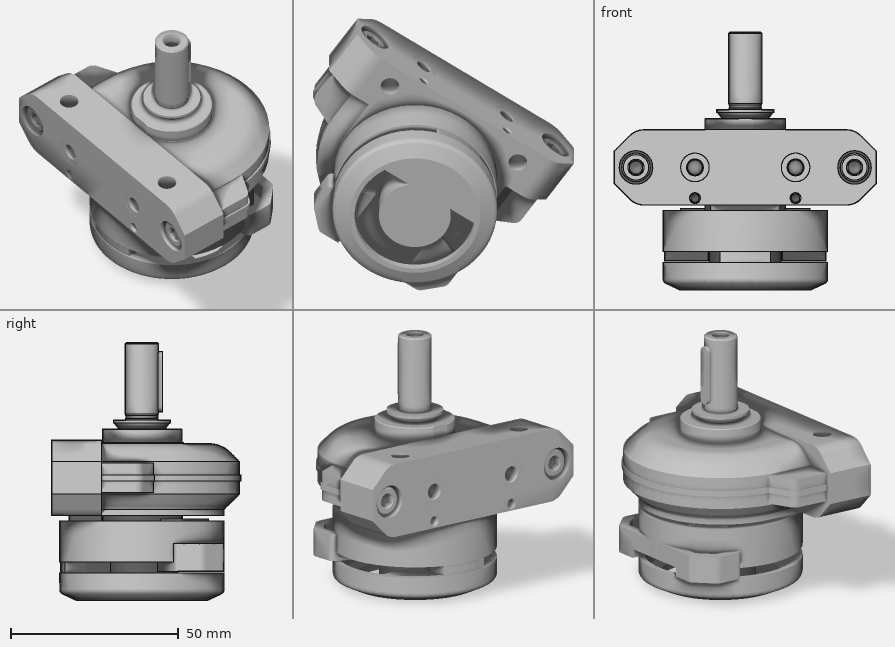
import cadquery as cq
import math


total_height = 76.75
drill_tip_angle = 118.0

plate_length = 78.0
plate_height = 22.5
plate_depth = 14.9
plate_back_y = -12.0
plate_front_y = plate_back_y - plate_depth
plate_end_height = 9.7
plate_corner_radius = 6.0
mount_hole_d = 5.5
mount_hole_x = 23.0
mount_hole_y = -20.7
port_x = 15.0
port_seat_d = 8.5
port_seat_depth = 0.1
port_mouth_d = 5.0
port_d = 4.45
port_depth = 2.5
dowel_d = 2.5
dowel_mouth_d = 3.2
dowel_depth = 5.0
dowel_z = -9.1
foot_width = 20.75
foot_end_y = -21.7
foot_corner_radius = 1.8

screw_x = 32.5
screw_head_d = 8.5
screw_head_height = 5.0
screw_head_chamfer = 0.5
screw_head_recess = 1.0
screw_bore_d = 10.0
screw_shank_d = 5.0
screw_end_y = -3.9
hex_across_flats = 4.0
hex_mouth_d = 4.8
hex_depth = 2.5

dome_radius = 29.0
dome_top_z = 10.2
dome_rim_z = plate_end_height / 2
dome_shoulder_radius = 9.0
skirt_radius = 24.5
skirt_blend_angle = 35.0
skirt_blend_z = -9.35
bead_height = 1.7
bead_width = 0.5
ear_x = 37.0
ear_height = 8.7
ear_slope = 25.5
ear_corner_y = -0.5
ear_corner_radius = 2.4

core_d = 24.0
core_flat_y = -11.7
core_flange_d = 24.65
core_flange_top_z = 10.5
collar_top_z = 14.6
collar_chamfer = 0.2
flare_d = 17.0
flare_base_d = 13.7
flare_cone_d = 16.5
flare_rim_z = 16.4
flare_top_z = 17.2
flare_bore_d = 10.3
flare_bore_depth = 0.3
shaft_d = 10.0
shaft_neck_d = 9.7
neck_groove_d = 9.5
neck_groove_bottom_z = 17.7
neck_groove_top_z = 18.6
shaft_start_z = 19.0
shaft_top_z = 40.25
shaft_chamfer = 0.4
center_mouth_d = 5.5
center_bore_d = 3.3
center_bore_depth = 4.0
center_mouth_angle = 60.0
center_drill_d = 2.5
center_drill_depth = 10.0
key_width = 3.2
key_length = 18.0
key_bottom_z = 19.65
key_top_y = 6.2

drum_d = 49.0
drum_top_z = -12.8
drum_bottom_z = -25.0
pad_x = 19.35
pad_front_y = 5.45
pad_back_y = 19.8
pad_chamfer = 7.95
pad_thickness = 0.6
bracket_x = 24.0
bracket_front_y = 10.1
bracket_back_y = 24.4
bracket_chamfer = 6.1
bracket_corner_radius = 2.5
bracket_front_radius = 1.6
bracket_wall = 3.0
bracket_top_z = -19.6
bracket_bottom_z = -27.85
bracket_foot_front_y = 4.7
bracket_foot_inner_x = 11.0
ring_inner_d = 45.3
ring_lip_d = 35.9
ring_lip_top_z = -34.2
ring_top_z = -28.2
ring_bottom_z = shaft_top_z - total_height
ring_bottom_d = 38.85
ring_bottom_angle = 25.0
ring_edge_radius = 1.55
web_edge_y = -7.8
web_top_z = -28.85
hub_d = 21.4
post_face_radius = 24.2
post_half_width = 7.6
post_inner_half_width = 5.0
post_inner_y = -8.6
post_side_start_y = -16.5


def mirrored_x(points):
    """Closes a right-hand outline with its mirror image in the YZ plane."""
    return points + [(-x, y) for x, y in reversed(points)]


def prism(points, bottom_z, top_z):
    return cq.Workplane("XY").workplane(offset=bottom_z).polyline(points).close().extrude(top_z - bottom_z)


def cylinder(diameter, bottom_z, top_z):
    return cq.Workplane("XY").workplane(offset=bottom_z).circle(diameter / 2).extrude(top_z - bottom_z)


def cylinder_y(diameter, x, z, start_y, end_y):
    """Cylinder along Y from start_y to end_y."""
    start = cq.Vector(x, start_y, z)
    return cq.Workplane(cq.Solid.makeCylinder(diameter / 2, end_y - start_y, start, cq.Vector(0, 1, 0)))


def cone_y(start_d, end_d, x, z, start_y, length):
    """Cone along +Y that goes from start_d to end_d."""
    start = cq.Vector(x, start_y, z)
    return cq.Workplane(cq.Solid.makeCone(start_d / 2, end_d / 2, length, start, cq.Vector(0, 1, 0)))


def drill_tip_length(diameter):
    return diameter / 2 / math.tan(math.radians(drill_tip_angle / 2))


def motor_core():
    """Round core with a flat towards the plate; it fills the bore of the housing."""
    core = cylinder(core_d, drum_top_z, core_flange_top_z)
    flange = cylinder(core_flange_d, dome_top_z, core_flange_top_z)
    collar = cylinder(core_d, core_flange_top_z, collar_top_z).faces(">Z").chamfer(collar_chamfer)
    flat_outline = mirrored_x([(core_d, core_flat_y), (core_d, -core_d)])
    return core.union(flange).union(collar).cut(prism(flat_outline, drum_top_z, collar_top_z))


def make_plate():
    chamfer = (plate_height - plate_end_height) / 2
    plate = (
        cq.Workplane("XY")
        .box(plate_length, plate_depth, plate_height)
        .translate((0, (plate_front_y + plate_back_y) / 2, 0))
        .edges("|Y")
        .chamfer(chamfer)
    )
    plate = plate.edges("|Y and (>Z or <Z)").fillet(plate_corner_radius)

    foot_half = foot_width / 2
    foot_outline = mirrored_x([(foot_half, plate_back_y), (foot_half, foot_end_y)])
    foot = prism(foot_outline, drum_top_z, -plate_height / 2)
    foot = foot.edges("|Z and <Y").fillet(foot_corner_radius)
    plate = plate.union(foot)

    for side in (-1, 1):
        mount_hole = cylinder(mount_hole_d, -plate_height, plate_height)
        plate = plate.cut(mount_hole.translate((side * mount_hole_x, mount_hole_y, 0)))
        plate = plate.cut(port(side * port_x))
        plate = plate.cut(dowel_hole(side * port_x))
        plate = plate.cut(screw_passage(side * screw_x))
    return plate


def port(x):
    """Blind port with a shallow sealing seat round its mouth."""
    seat = cylinder_y(port_seat_d, x, 0, plate_front_y, plate_front_y + port_seat_depth)
    mouth = cone_y(port_mouth_d, port_d, x, 0, plate_front_y + port_seat_depth, (port_mouth_d - port_d) / 2)
    hole = cylinder_y(port_d, x, 0, plate_front_y, plate_front_y + port_depth)
    return seat.union(mouth).union(hole)


def dowel_hole(x):
    """Blind hole with a chamfered mouth and a conical end."""
    mouth_depth = (dowel_mouth_d - dowel_d) / 2
    end_y = plate_front_y + dowel_depth
    hole = cylinder_y(dowel_d, x, dowel_z, plate_front_y, end_y)
    mouth = cone_y(dowel_mouth_d, dowel_d, x, dowel_z, plate_front_y, mouth_depth)
    tip = cone_y(dowel_d, 0, x, dowel_z, end_y, drill_tip_length(dowel_d))
    return hole.union(mouth).union(tip)


screw_head_y = plate_front_y + screw_head_recess
screw_seat_y = screw_head_y + screw_head_height


def screw_passage(x):
    """Counterbored passage for one screw."""
    bore = cylinder_y(screw_bore_d, x, 0, plate_front_y, screw_seat_y)
    return bore.union(cylinder_y(screw_shank_d, x, 0, screw_seat_y, screw_end_y))


def make_screw(x):
    """Socket-head screw whose hexagon has flats at its left and right."""
    head = cylinder_y(screw_head_d, x, 0, screw_head_y, screw_seat_y).faces("<Y").chamfer(screw_head_chamfer)
    shank = cylinder_y(screw_shank_d, x, 0, screw_seat_y, screw_end_y)
    hex_across_corners = hex_across_flats / math.cos(math.pi / 6)
    socket = (
        cq.Workplane("XZ", origin=(x, screw_head_y, 0))
        .transformed(rotate=(0, 0, 90))
        .polygon(6, hex_across_corners)
        .extrude(-hex_depth)
    )
    mouth = cone_y(hex_mouth_d, 0, x, 0, screw_head_y, hex_mouth_d / 2)
    tip_length = drill_tip_length(hex_across_flats)
    tip = cone_y(hex_across_flats, 0, x, 0, screw_head_y + hex_depth, tip_length)
    return head.union(shank).cut(socket).cut(mouth).cut(tip)


def dome_profile():
    """Half section of the dome and skirt, from the axis out, with rounded 45 degree shoulders."""
    arc_turn = math.pi / 4
    shoulder_x = dome_radius - (dome_top_z - dome_rim_z)
    tangent = dome_shoulder_radius * math.tan(arc_turn / 2)
    center_x = shoulder_x - tangent
    center_z = dome_top_z - dome_shoulder_radius

    def on_shoulder(angle):
        return (
            center_x + dome_shoulder_radius * math.sin(angle),
            center_z + dome_shoulder_radius * math.cos(angle),
        )

    mid = on_shoulder(arc_turn / 2)
    end = on_shoulder(arc_turn)
    blend_angle = math.radians(skirt_blend_angle)
    blend_mid = on_shoulder((arc_turn + blend_angle) / 2)
    blend = on_shoulder(blend_angle)
    return (
        cq.Workplane("XZ")
        .moveTo(0, dome_top_z)
        .lineTo(center_x, dome_top_z)
        .threePointArc(mid, end)
        .lineTo(dome_radius, dome_rim_z)
        .lineTo(dome_radius, -dome_rim_z)
        .lineTo(end[0], -end[1])
        .threePointArc((blend_mid[0], -blend_mid[1]), (blend[0], -blend[1]))
        .lineTo(skirt_radius, skirt_blend_z)
        .lineTo(skirt_radius, -plate_height / 2)
        .lineTo(0, -plate_height / 2)
        .close()
    )


def make_bead():
    """Thin raised bead round the dome and down its straight sides."""
    radius = dome_radius + bead_width
    sides_outline = mirrored_x([(radius, 0), (radius, plate_back_y)])
    sides = prism(sides_outline, -bead_height / 2, bead_height / 2)
    front_half = mirrored_x([(radius, 0), (radius, -radius)])
    round_back = cylinder(2 * radius, -bead_height / 2, bead_height / 2)
    return round_back.cut(prism(front_half, -bead_height, bead_height)).union(sides)


def ear(side, height, growth):
    """Ear that takes one clamp screw; growth offsets its outline outwards."""
    slope = math.radians(ear_slope)
    outer_x = ear_x + growth
    corner_y = ear_corner_y + growth * (1 - math.sin(slope)) / math.cos(slope)
    root_x = screw_x - screw_bore_d
    root_y = corner_y + (outer_x - root_x) * math.tan(slope)
    outline = [(root_x, plate_back_y), (outer_x, plate_back_y), (outer_x, corner_y), (root_x, root_y)]
    body = prism(outline, -height / 2, height / 2)
    outer_corner = cq.selectors.NearestToPointSelector((outer_x, corner_y, 0))
    body = body.edges("|Z").edges(outer_corner).fillet(ear_corner_radius + growth)
    return body if side > 0 else body.mirror("YZ")


def make_housing():
    back = dome_profile().revolve(180, (0, 0), (0, 1))
    right_side = dome_profile().extrude(-plate_back_y)
    housing = back.union(right_side).union(right_side.mirror("YZ"))
    housing = housing.union(make_bead())
    for side in (-1, 1):
        housing = housing.union(ear(side, ear_height, 0))
        housing = housing.union(ear(side, bead_height, bead_width))
    housing = housing.cut(motor_core())
    for side in (-1, 1):
        housing = housing.cut(screw_passage(side * screw_x))
    return housing


def shaft():
    bore_floor_z = flare_top_z - flare_bore_depth
    profile = [
        (0, collar_top_z),
        (flare_base_d / 2, collar_top_z),
        (flare_cone_d / 2, flare_rim_z),
        (flare_d / 2, flare_rim_z),
        (flare_d / 2, flare_top_z),
        (flare_bore_d / 2, flare_top_z),
        (flare_bore_d / 2, bore_floor_z),
        (shaft_neck_d / 2, bore_floor_z),
        (shaft_neck_d / 2, neck_groove_bottom_z),
        (neck_groove_d / 2, neck_groove_bottom_z),
        (neck_groove_d / 2, neck_groove_top_z),
        (shaft_neck_d / 2, neck_groove_top_z),
        (shaft_neck_d / 2, shaft_start_z),
        (shaft_d / 2, shaft_start_z),
        (shaft_d / 2, shaft_top_z - shaft_chamfer),
        (shaft_d / 2 - shaft_chamfer, shaft_top_z),
        (0, shaft_top_z),
    ]
    body = cq.Workplane("XZ").polyline(profile).close().revolve(360, (0, 0), (0, 1))
    key = (
        cq.Workplane("XZ", origin=(0, 0, key_bottom_z + key_length / 2))
        .slot2D(key_length, key_width, 90)
        .extrude(-key_top_y)
    )
    return body.union(key).cut(center_hole())


def center_hole():
    """Stepped hole in the shaft end with a conical mouth and a drill tip."""
    mouth_depth = (center_mouth_d - center_bore_d) / 2 / math.tan(math.radians(center_mouth_angle / 2))
    drill_end_z = shaft_top_z - center_drill_depth
    profile = [
        (0, shaft_top_z),
        (center_mouth_d / 2, shaft_top_z),
        (center_bore_d / 2, shaft_top_z - mouth_depth),
        (center_bore_d / 2, shaft_top_z - center_bore_depth),
        (center_drill_d / 2, shaft_top_z - center_bore_depth),
        (center_drill_d / 2, drill_end_z),
        (0, drill_end_z - drill_tip_length(center_drill_d)),
    ]
    return cq.Workplane("XZ").polyline(profile).close().revolve(360, (0, 0), (0, 1))


def drum():
    body = cylinder(drum_d, drum_bottom_z, drum_top_z)
    pad = prism(
        mirrored_x([
            (pad_x, pad_front_y),
            (pad_x, pad_back_y - pad_chamfer),
            (pad_x - pad_chamfer, pad_back_y),
        ]),
        drum_top_z,
        drum_top_z + pad_thickness,
    )
    hub = cylinder(hub_d, ring_bottom_z, drum_bottom_z)
    return body.union(pad).union(hub)


def bracket():
    """Wall round the back of the drum, open above, with a sloping foot under the drum on each side."""
    foot_slope = (bracket_front_y - bracket_foot_front_y) / (bracket_x - bracket_foot_inner_x)
    outline = mirrored_x([
        (bracket_x, bracket_front_y),
        (bracket_x, bracket_back_y - bracket_chamfer),
        (bracket_x - bracket_chamfer, bracket_back_y),
    ])
    outline.append((0, bracket_front_y - bracket_x * foot_slope))
    inner_x = bracket_x - bracket_wall
    inner_back_y = bracket_back_y - bracket_wall
    inner_chamfer = bracket_chamfer - bracket_wall * (2 - math.sqrt(2))
    cavity_outline = mirrored_x([
        (inner_x, 0),
        (inner_x, inner_back_y - inner_chamfer),
        (inner_x - inner_chamfer, inner_back_y),
    ])
    foot_gap_outline = mirrored_x([(bracket_foot_inner_x, 0), (bracket_foot_inner_x, drum_d)])

    block = prism(outline, bracket_bottom_z, bracket_top_z)
    middle_y = (bracket_front_y + bracket_back_y) / 2
    back_half = cq.selectors.BoxSelector((-drum_d, middle_y, -drum_d), (drum_d, drum_d, drum_d))
    front_ends = cq.selectors.BoxSelector(
        (-drum_d, bracket_foot_front_y, -drum_d), (drum_d, middle_y, drum_d)
    )
    block = block.edges("|Z").edges(back_half).fillet(bracket_corner_radius)
    block = block.edges("|Z").edges(front_ends).fillet(bracket_front_radius)
    cavity = prism(cavity_outline, drum_bottom_z, bracket_top_z)
    foot_gap = prism(foot_gap_outline, bracket_bottom_z, drum_bottom_z)
    return block.cut(cavity).cut(foot_gap)


def ring():
    """Open ring below the drum, carried by a web and a post on the plate side."""
    outer = drum_d / 2
    corner_z = ring_bottom_z + (outer - ring_bottom_d / 2) * math.tan(math.radians(ring_bottom_angle))
    rim = cq.Workplane("XZ").polyline([
        (0, ring_top_z),
        (outer, ring_top_z),
        (outer, corner_z),
        (ring_bottom_d / 2, ring_bottom_z),
        (0, ring_bottom_z),
    ]).close().revolve(360, (0, 0), (0, 1))
    corner = cq.selectors.NearestToPointSelector((0, 0, corner_z))
    rim = rim.edges("%CIRCLE").edges(corner).fillet(ring_edge_radius)
    opening = cylinder(ring_inner_d, ring_lip_top_z, ring_top_z)
    opening = opening.union(cylinder(ring_lip_d, ring_bottom_z, ring_lip_top_z))
    web_zone = prism(mirrored_x([(drum_d, web_edge_y), (drum_d, -drum_d)]), ring_bottom_z, web_top_z)
    return rim.cut(opening.cut(web_zone))


def post():
    """Post that joins drum, web and ring; its outer face lies just inside the drum surface."""
    outline = mirrored_x([
        (post_inner_half_width, post_inner_y),
        (post_half_width, post_side_start_y),
        (post_half_width, -post_face_radius),
    ])
    envelope = cylinder(2 * post_face_radius, web_top_z, drum_bottom_z)
    return prism(outline, web_top_z, drum_bottom_z).intersect(envelope)


def make_motor():
    motor = motor_core()
    for feature in (shaft(), drum(), bracket(), ring(), post()):
        motor = motor.union(feature)
    return motor


plate = make_plate()
housing = make_housing()
screws = [make_screw(side * screw_x) for side in (-1, 1)]
motor = make_motor()

result = cq.Compound.makeCompound([plate.val(), housing.val(), *[s.val() for s in screws], motor.val()])